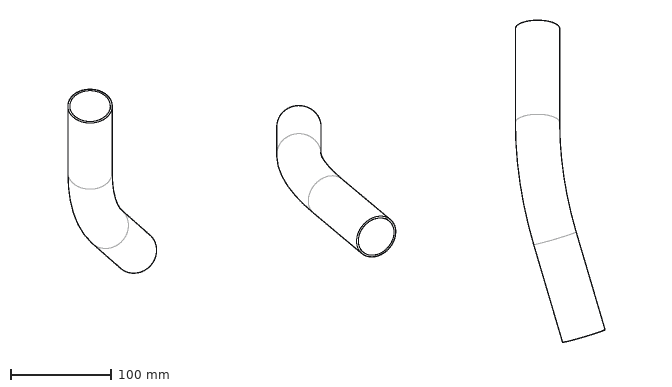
import cadquery as cq
import math

height = 315.0
outer_diameter = 44.5
inner_diameter = 40.3
leg_length = 101.7
bend_angle = 30.0

angle = math.radians(bend_angle)
tilted_rim_drop = outer_diameter / 2 * math.sin(angle)
legs_height = leg_length * (1 + math.cos(angle))
bend_radius = (height - legs_height - tilted_rim_drop) / math.sin(angle)

top_end = (0, height)
bend_start = (0, height - leg_length)


def point_on_bend(turn):
    """Centreline point after turning by the given angle from vertical towards +Y."""
    return (
        bend_radius * (1 - math.cos(turn)),
        bend_start[1] - bend_radius * math.sin(turn),
    )


bend_middle = point_on_bend(angle / 2)
bend_end = point_on_bend(angle)
tilted_end = (
    bend_end[0] + leg_length * math.sin(angle),
    bend_end[1] - leg_length * math.cos(angle),
)

centreline = (
    cq.Workplane("YZ")
    .moveTo(*top_end)
    .lineTo(*bend_start)
    .threePointArc(bend_middle, bend_end)
    .lineTo(*tilted_end)
)

result = (
    cq.Workplane("XY", origin=(0, 0, height))
    .circle(outer_diameter / 2)
    .circle(inner_diameter / 2)
    .sweep(centreline)
)